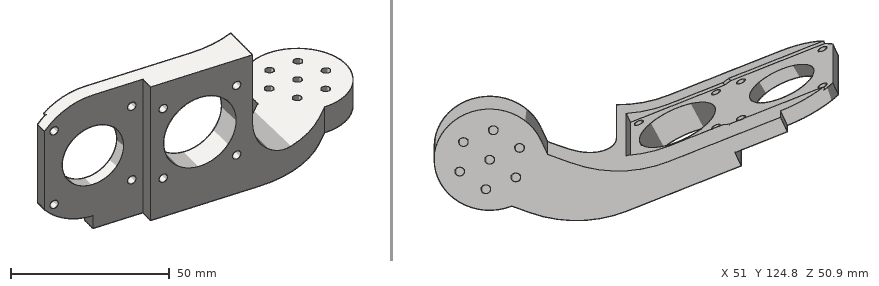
import cadquery as cq
import math


length = 124.81
height = 50.9
wall_right = 33.5
wall_thickness = 10.5
wall_left = wall_right - wall_thickness

disc_radius = 17.5
disc_thickness = 9.9
disc_hole_circle_radius = 10.25
disc_hole_count = 6
bend_radius = 40.0
inner_bend_corner_x = 5.6
wall_end_y = -35.0
arm_fillet_radius = 15.0

screw_hole_diameter = 3.0
pocket_depth = 1.0
large_bore_diameter = 26.1
large_bore_y = -54.0
large_bore_screw_pitch = 26.5
large_bore_seat_size = 32.2
small_bore_diameter = 22.1
small_bore_y = -89.8
small_bore_screw_pitch = 28.0
small_bore_seat_size = 35.2

plate_right = 28.5
thin_start_y = -71.8
foot_height = 4.9
wall_free_y = disc_radius - length
end_radius = (height - foot_height) / 2
bore_z = foot_height + end_radius


def bend_point(face_x, center_y, angle):
    """Point on a bend that ends tangent to the plane x = face_x, at an angle from +X."""
    turn = math.radians(angle)
    return (
        face_x - bend_radius + bend_radius * math.cos(turn),
        center_y + bend_radius * math.sin(turn),
    )


def bend_center_y(face_x, start_x, start_y):
    """Y of the bend centre so that a 45 degree line from the start point is tangent to it."""
    return start_x + start_y - (face_x - bend_radius) - bend_radius * math.sqrt(2)


def make_body():
    """Outline of the disc, arm and wall seen along Z, extruded to full height."""
    outer_y = bend_center_y(wall_right, disc_radius, 0)
    inner_y = bend_center_y(wall_left, inner_bend_corner_x, -disc_radius)
    disc_mid = -disc_radius * math.sqrt(0.5)
    return (
        cq.Workplane("XY")
        .moveTo(disc_radius, 0)
        .lineTo(*bend_point(wall_right, outer_y, 45))
        .threePointArc(bend_point(wall_right, outer_y, 22.5), (wall_right, outer_y))
        .lineTo(wall_right, thin_start_y)
        .lineTo(plate_right, thin_start_y)
        .lineTo(plate_right, wall_free_y)
        .lineTo(wall_left, wall_free_y)
        .lineTo(wall_left, inner_y)
        .threePointArc(bend_point(wall_left, inner_y, 22.5), bend_point(wall_left, inner_y, 45))
        .lineTo(inner_bend_corner_x, -disc_radius)
        .lineTo(0, -disc_radius)
        .threePointArc((disc_mid, -disc_mid), (disc_radius, 0))
        .close()
        .extrude(height)
    )


def side_plane(x):
    """Sketch plane facing +X at the given X, with local axes Y and Z."""
    return cq.Workplane("YZ", origin=(x, 0, 0))


def cut_above_disc(body):
    """Remove everything above the disc, leaving a concave blend up to the wall."""
    far_y = 2 * disc_radius
    above = (
        side_plane(0)
        .moveTo(far_y, disc_thickness)
        .lineTo(wall_end_y, disc_thickness)
        .lineTo(wall_end_y, 2 * height)
        .lineTo(far_y, 2 * height)
        .close()
        .extrude(2 * wall_right, both=True)
        .edges("<Y and <Z")
        .fillet(arm_fillet_radius)
    )
    return body.cut(above)


def round_free_end(body):
    """Cut the foot off the free end and round its two corners about the small bore."""
    beyond_end_y = small_bore_y - 2 * end_radius
    beyond_end = (
        side_plane(0)
        .moveTo(small_bore_y, -height)
        .lineTo(small_bore_y, foot_height)
        .threePointArc((small_bore_y - end_radius, bore_z), (small_bore_y, height))
        .lineTo(small_bore_y, 2 * height)
        .lineTo(beyond_end_y, 2 * height)
        .lineTo(beyond_end_y, -height)
        .close()
        .extrude(2 * wall_right)
    )
    return body.cut(beyond_end)


def cut_seat_pocket(body):
    """Sink both square seats into the inner face, with a slanted step between them."""
    large_half = large_bore_seat_size / 2
    small_half = small_bore_seat_size / 2
    upper_edge = [
        (large_bore_y + large_half, large_half),
        (large_bore_y - large_half, large_half),
        (small_bore_y + small_half, small_half),
        (wall_free_y, small_half),
    ]
    lower_edge = [(y, -z) for y, z in reversed(upper_edge)]
    pocket = (
        side_plane(wall_left + pocket_depth)
        .center(0, bore_z)
        .polyline(upper_edge + lower_edge)
        .close()
        .extrude(-wall_left)
    )
    return body.cut(pocket)


def cut_motor_holes(body, bore_y, bore_diameter, screw_pitch):
    """Cut a bore and its four screw holes through the wall."""
    seat_center = side_plane(0).center(bore_y, bore_z)
    bore = seat_center.circle(bore_diameter / 2).extrude(2 * wall_right)
    screws = (
        seat_center.rect(screw_pitch, screw_pitch, forConstruction=True)
        .vertices()
        .circle(screw_hole_diameter / 2)
        .extrude(2 * wall_right)
    )
    return body.cut(bore).cut(screws)


def cut_disc_holes(body):
    """Drill the central hole and the ring of holes through the disc."""
    holes = (
        cq.Workplane("XY")
        .polarArray(disc_hole_circle_radius, 90, 360, disc_hole_count)
        .circle(screw_hole_diameter / 2)
        .extrude(disc_thickness)
    )
    center_hole = cq.Workplane("XY").circle(screw_hole_diameter / 2).extrude(disc_thickness)
    return body.cut(holes).cut(center_hole)


result = make_body()
result = cut_above_disc(result)
result = round_free_end(result)
result = cut_seat_pocket(result)
result = cut_motor_holes(result, large_bore_y, large_bore_diameter, large_bore_screw_pitch)
result = cut_motor_holes(result, small_bore_y, small_bore_diameter, small_bore_screw_pitch)
result = cut_disc_holes(result)